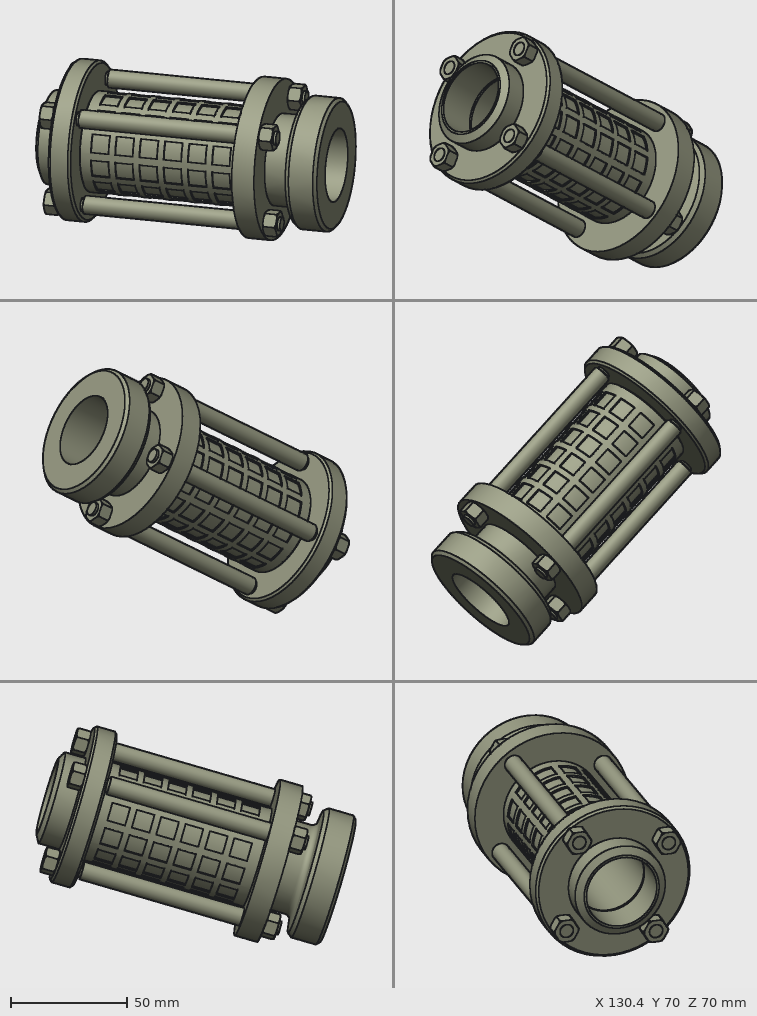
import cadquery as cq
import math

LENGTH = 130.4

BORE_DIA = 32.0

STUB_DIA = 41.0
STUB_RIM_DIA = 34.0
STUB_BEVEL_LENGTH = 2.0

FLANGE_DIA = 70.0
FLANGE_THICKNESS = 10.0
INLET_FLANGE_X = 11.1
OUTLET_FLANGE_X = 94.3
FLANGE_CHAMFER = 1.0

NECK_DIA = 40.0
COLLAR_DIA = 58.0
COLLAR_X = 116.0
COLLAR_BEVEL_LENGTH = 2.0
COLLAR_BEVEL_DEPTH = 1.5
COLLAR_END_CHAMFER = 1.4
NECK_ROOT_X = 112.4
NECK_ROOT_RADIUS = 3.0
COLLAR_FACE_TILT = 10.0

GLASS_DIA = 42.4
GLASS_SEAT_DEPTH = 4.4
GLASS_CHAMFER = 1.0

SLEEVE_DIA = 44.0
SLEEVE_GAP = 0.3
WINDOW_SIZE = 8.0
WINDOW_COLUMNS = 6
WINDOW_PITCH = 11.0
FIRST_WINDOW_X = 26.3
WINDOW_ROWS = 12
WINDOW_PHASE = 16.0

BOLT_CIRCLE_DIA = 58.0
ROD_COUNT = 4
ROD_PHASE = 36.9
ROD_DIA = 8.0
STUD_DIA = 6.0
STUD_RECESS = 0.1
ROD_SHOULDER_X = 22.4
NUT_WIDTH = 10.0
NUT_HEIGHT = 5.9
NUT_CHAMFER = 0.5
STUD_PROJECTION = 1.2

inlet_flange_end = INLET_FLANGE_X + FLANGE_THICKNESS
outlet_flange_end = OUTLET_FLANGE_X + FLANGE_THICKNESS
glass_start = inlet_flange_end - GLASS_SEAT_DEPTH
glass_end = OUTLET_FLANGE_X + GLASS_SEAT_DEPTH
nut_corner_dia = NUT_WIDTH / math.cos(math.radians(30))


def cylinder(diameter, x_start, x_end, y=0.0, z=0.0):
    """Solid cylinder along X."""
    plane = cq.Workplane("YZ", origin=(x_start, y, z))
    return plane.circle(diameter / 2).extrude(x_end - x_start)


def inlet_end():
    """Weld stub with its bevelled rim and the chamfered inlet flange."""
    flange = cylinder(FLANGE_DIA, INLET_FLANGE_X, inlet_flange_end).edges().chamfer(FLANGE_CHAMFER)
    stub = (
        cq.Workplane("XY")
        .moveTo(0, 0)
        .lineTo(0, STUB_RIM_DIA / 2)
        .lineTo(STUB_BEVEL_LENGTH, STUB_DIA / 2)
        .lineTo(INLET_FLANGE_X, STUB_DIA / 2)
        .lineTo(INLET_FLANGE_X, 0)
        .close()
        .revolve(360, (0, 0, 0), (1, 0, 0))
    )
    return flange.union(stub)


def outlet_end():
    """Outlet flange and the neck that flares out into the bevelled collar."""
    flange = cylinder(FLANGE_DIA, OUTLET_FLANGE_X, outlet_flange_end)
    neck_radius = NECK_DIA / 2
    collar_radius = COLLAR_DIA / 2
    bevel_radius = collar_radius - COLLAR_BEVEL_DEPTH
    tilt = math.radians(COLLAR_FACE_TILT)
    root_end_x = NECK_ROOT_X + NECK_ROOT_RADIUS * math.cos(tilt)
    root_end_radius = neck_radius + NECK_ROOT_RADIUS * (1 - math.sin(tilt))
    neck_and_collar = (
        cq.Workplane("XY")
        .moveTo(outlet_flange_end, 0)
        .lineTo(outlet_flange_end, neck_radius)
        .lineTo(NECK_ROOT_X, neck_radius)
        .tangentArcPoint((root_end_x, root_end_radius), relative=False)
        .lineTo(COLLAR_X, bevel_radius)
        .lineTo(COLLAR_X + COLLAR_BEVEL_LENGTH, collar_radius)
        .lineTo(LENGTH - COLLAR_END_CHAMFER, collar_radius)
        .lineTo(LENGTH, collar_radius - COLLAR_END_CHAMFER)
        .lineTo(LENGTH, 0)
        .close()
        .revolve(360, (0, 0, 0), (1, 0, 0))
    )
    return flange.union(neck_and_collar)


def window_row(angle):
    """One row of square window cutters, tilted up by angle from the -Y direction."""
    first_centre_x = FIRST_WINDOW_X + WINDOW_SIZE / 2
    centres = [(first_centre_x + column * WINDOW_PITCH, 0) for column in range(WINDOW_COLUMNS)]
    cutters = cq.Workplane("XY").pushPoints(centres).rect(WINDOW_SIZE, WINDOW_SIZE).extrude(SLEEVE_DIA)
    return cutters.rotate((0, 0, 0), (1, 0, 0), 90 - angle)


def sleeve():
    """Thin sleeve with rows of square windows all around."""
    sleeve_start = inlet_flange_end + SLEEVE_GAP
    body = cylinder(SLEEVE_DIA, sleeve_start, OUTLET_FLANGE_X)
    body = body.cut(cylinder(GLASS_DIA, sleeve_start, OUTLET_FLANGE_X))
    for row in range(WINDOW_ROWS):
        body = body.cut(window_row(WINDOW_PHASE + row * 360 / WINDOW_ROWS))
    return body


def nut(x_start, y, z):
    """Hexagon nut with its corners bevelled at both ends."""
    hexagon = cq.Workplane("YZ", origin=(x_start, y, z)).polygon(6, nut_corner_dia).extrude(NUT_HEIGHT)
    corner_envelope = cylinder(nut_corner_dia, x_start, x_start + NUT_HEIGHT, y, z)
    return hexagon.intersect(corner_envelope.edges().chamfer(NUT_CHAMFER))


def tie_rod(y, z):
    """Shouldered rod with its two nuts; the inlet stud end sits just inside its nut."""
    inlet_nut_x = INLET_FLANGE_X - NUT_HEIGHT
    outlet_stud_end = outlet_flange_end + NUT_HEIGHT + STUD_PROJECTION
    return (
        nut(inlet_nut_x, y, z)
        .union(nut(outlet_flange_end, y, z))
        .union(cylinder(ROD_DIA, ROD_SHOULDER_X, OUTLET_FLANGE_X, y, z))
        .union(cylinder(STUD_DIA, inlet_nut_x, outlet_stud_end, y, z))
        .cut(cylinder(STUD_DIA, inlet_nut_x, inlet_nut_x + STUD_RECESS, y, z))
    )


def make_frame():
    """Both ends, the sleeve and the tie rods as one body, bored and recessed for the glass."""
    frame = inlet_end().union(outlet_end()).union(sleeve())
    for index in range(ROD_COUNT):
        angle = math.radians(ROD_PHASE + index * 360 / ROD_COUNT)
        y = -BOLT_CIRCLE_DIA / 2 * math.cos(angle)
        z = BOLT_CIRCLE_DIA / 2 * math.sin(angle)
        frame = frame.union(tie_rod(y, z))
    frame = frame.cut(cylinder(BORE_DIA, 0, LENGTH))
    return frame.cut(cylinder(GLASS_DIA, glass_start, glass_end))


def make_glass():
    """Glass tube with its inner edges chamfered at both ends."""
    tube = cylinder(GLASS_DIA, glass_start, glass_end).cut(cylinder(BORE_DIA, glass_start, glass_end))
    return tube.edges(cq.selectors.RadiusNthSelector(0)).chamfer(GLASS_CHAMFER)


frame = make_frame()
glass = make_glass()
result = cq.Compound.makeCompound([frame.val(), glass.val()])